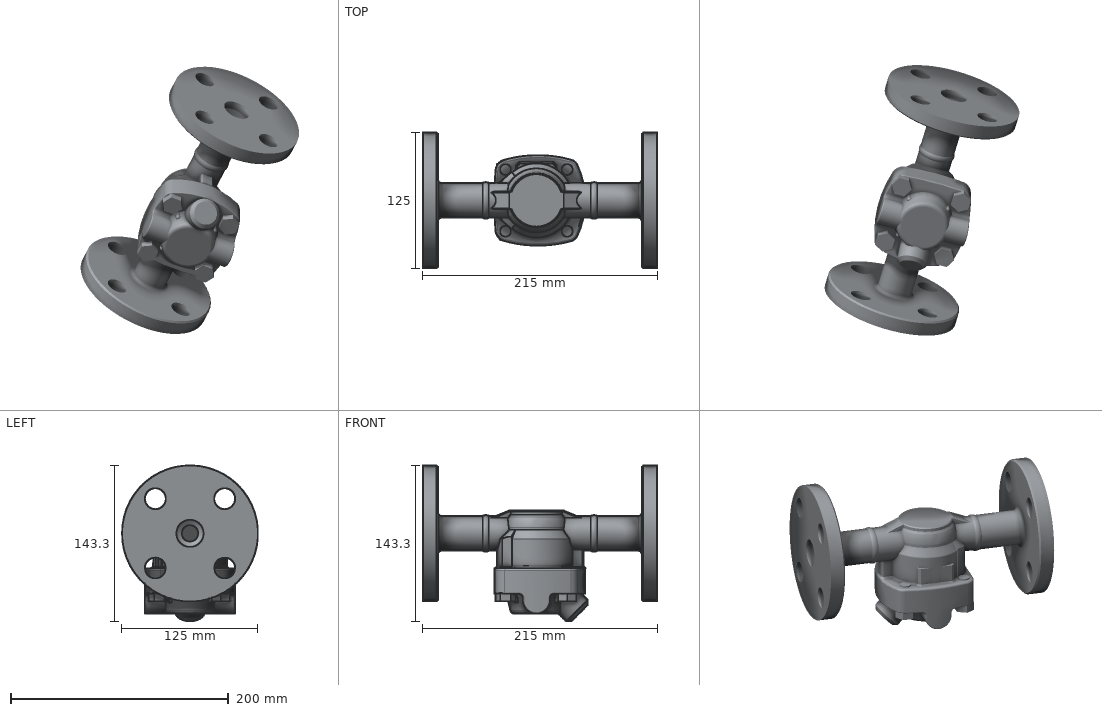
import math

import cadquery as cq


BOLT_COUNT = 4

OVERALL_LENGTH = 215.0
FLANGE_DIAMETER = 125.0
FLANGE_THICKNESS = 14.0
FLANGE_CHAMFER = 1.5
FLANGE_HOLE_DIAMETER = 19.0
FLANGE_BOLT_CIRCLE = 90.0
PIPE_RADIUS = 16.0
PIPE_FILLET = 3.5
BEAD_DISTANCE = 49.7
BEAD_WIDTH = 5.9
BEAD_HEIGHT = 0.9
SOCKET_RADIUS = 12.5
SOCKET_DEPTH = 8.0
SOCKET_POINT_ANGLE = 118.0
BORE_RADIUS = 7.5
BORE_DEPTH = 60.0

BODY_X = -3.3
CAP_RADIUS = 25.0
CAP_TOP = 21.0
CAP_BAND_BOTTOM = 17.3
COLLAR_TOP_RADIUS = 26.6
COLLAR_TOP = 15.2
COLLAR_MID_RADIUS = 28.6
COLLAR_MID = 10.5
COLLAR_RADIUS = 29.4
COLLAR_BOTTOM = 5.8
SHOULDER_TOP = 3.2
SHOULDER_BOTTOM = -4.9
BODY_RADIUS = 34.0
SHOULDER_FILLET = 2.0
INLET_BULGE_RADIUS = 36.5
INLET_BULGE_ANGLE = 98.0
INLET_BULGE_FLAT = 34.7
PAD_WIDTH = 34.6
PAD_FACE = 33.8
PAD_CHAMFER = 2.3
PAD_TOP = -15.0
OUTLET_DUCT_END = 43.7
OUTLET_DUCT_WIDTH = 12.0
OUTLET_DUCT_CHAMFER = 1.6
RIB_WIDTH = 16.4
RIB_REACH = 41.4
RIB_TIP_HEIGHT = 14.2
TOP_CHAMFER = 1.0

COVER_INLET_END = 42.1
COVER_OUTLET_END = 41.7
COVER_HALF_WIDTH = 41.6
COVER_CREST_X = -1.7
COVER_INLET_CORNER = (-40.1, 35.0)
COVER_OUTLET_CORNER = (32.4, 36.3)
COVER_INLET_CORNER_RADIUS = 11.5
COVER_OUTLET_CORNER_RADIUS = 9.5
COVER_TOP = -31.9
COVER_BOTTOM = -55.6
COVER_TOP_FILLET = 2.0
COVER_BOTTOM_FILLET = 1.0
BASE_FILLET = 2.0
FOOT_HEIGHT = 1.5

BOLT_CIRCLE = 80.0
BOLT_DIAMETER = 10.0
BOLT_END_HEIGHT = 1.5
HEX_ACROSS_FLATS = 16.3
HEX_HEIGHT = 6.8

DOME_TOP_RADIUS = 27.5
DOME_BOTTOM_RADIUS = 23.2
DOME_FILLET = 4.0
BOTTOM = -73.7
LUG_RADIUS = 12.5
LUG_FILLET = 3.5
STUD_RADIUS = 2.3
STUD_END_FILLET = 2.07
STUD_CIRCLE_RADIUS = 25.7
STUD_BOTTOM = -63.8
DRAIN_RADIUS = 14.0
DRAIN_CHAMFER = 3.2
DRAIN_LENGTH = 28.0
DRAIN_END_X = 39.6
DRAIN_END_Z = -73.13

SELECTION_MARGIN = 0.1


def turned_about_x(points):
    return cq.Workplane("XY").polyline(points).close().revolve(360, (0, 0, 0), (1, 0, 0))


def pipe_half():
    """Pipe stub from the middle to the outlet flange, without its bore."""
    end = OVERALL_LENGTH / 2
    flange_back = end - FLANGE_THICKNESS
    bead_start = BEAD_DISTANCE - BEAD_WIDTH / 2
    bead_end = BEAD_DISTANCE + BEAD_WIDTH / 2
    fillet_start = flange_back - PIPE_FILLET
    fillet_mid = PIPE_FILLET * math.sqrt(0.5)
    rim = FLANGE_DIAMETER / 2
    half = (
        cq.Workplane("XY")
        .lineTo(0, PIPE_RADIUS)
        .lineTo(bead_start, PIPE_RADIUS)
        .threePointArc((BEAD_DISTANCE, PIPE_RADIUS + BEAD_HEIGHT), (bead_end, PIPE_RADIUS))
        .lineTo(fillet_start, PIPE_RADIUS)
        .threePointArc(
            (fillet_start + fillet_mid, PIPE_RADIUS + PIPE_FILLET - fillet_mid),
            (flange_back, PIPE_RADIUS + PIPE_FILLET),
        )
        .lineTo(flange_back, rim - FLANGE_CHAMFER)
        .lineTo(flange_back + FLANGE_CHAMFER, rim)
        .lineTo(end, rim)
        .lineTo(end, 0)
        .close()
        .revolve(360, (0, 0, 0), (1, 0, 0))
    )
    holes = (
        cq.Workplane("YZ", origin=(flange_back, 0, 0))
        .polarArray(FLANGE_BOLT_CIRCLE / 2, 45, 360, BOLT_COUNT)
        .circle(FLANGE_HOLE_DIAMETER / 2)
        .extrude(FLANGE_THICKNESS)
    )
    return half.cut(holes)


def bore_half():
    """Stepped blind bore of the outlet side: socket, cone and narrow bore."""
    end = OVERALL_LENGTH / 2
    cone_length = (SOCKET_RADIUS - BORE_RADIUS) / math.tan(math.radians(SOCKET_POINT_ANGLE / 2))
    socket_end = end - SOCKET_DEPTH
    bore_end = end - BORE_DEPTH
    return turned_about_x(
        [
            (end, 0),
            (end, SOCKET_RADIUS),
            (socket_end, SOCKET_RADIUS),
            (socket_end - cone_length, BORE_RADIUS),
            (bore_end, BORE_RADIUS),
            (bore_end, 0),
        ]
    )


def both_ends(half):
    return half.union(half.mirror("YZ"))


def body_shell(radius, angle):
    """Body of revolution about Z with the given lower radius, swept over an angle about -X."""
    fillet_mid = BASE_FILLET * (1 - math.sqrt(0.5))
    profile = (
        cq.Workplane("XZ")
        .moveTo(0, CAP_TOP)
        .lineTo(CAP_RADIUS - TOP_CHAMFER, CAP_TOP)
        .lineTo(CAP_RADIUS, CAP_TOP - TOP_CHAMFER)
        .lineTo(CAP_RADIUS, CAP_BAND_BOTTOM)
        .lineTo(COLLAR_TOP_RADIUS, COLLAR_TOP)
        .threePointArc((COLLAR_MID_RADIUS, COLLAR_MID), (COLLAR_RADIUS, COLLAR_BOTTOM))
        .lineTo(COLLAR_RADIUS, SHOULDER_TOP)
        .lineTo(radius, SHOULDER_BOTTOM)
        .lineTo(radius, COVER_TOP + BASE_FILLET)
        .threePointArc(
            (radius + fillet_mid, COVER_TOP + fillet_mid), (radius + BASE_FILLET, COVER_TOP)
        )
        .lineTo(0, COVER_TOP)
        .close()
    )
    shoulder_edge = cq.selectors.BoxSelector(
        (-2 * radius, -2 * radius, SHOULDER_BOTTOM - SELECTION_MARGIN),
        (2 * radius, 2 * radius, SHOULDER_BOTTOM + SELECTION_MARGIN),
        boundingbox=True,
    )
    shell = (
        profile.revolve(angle, (0, 0, 0), (0, 1, 0)).edges(shoulder_edge).fillet(SHOULDER_FILLET)
    )
    return shell.rotate((0, 0, 0), (0, 0, 1), 180 - angle / 2)


def inlet_bulge():
    """Wider body sector under the inlet, flattened where it runs into the main body."""
    bulge = body_shell(INLET_BULGE_RADIUS, INLET_BULGE_ANGLE)
    size = 4 * INLET_BULGE_RADIUS
    for side in (-1, 1):
        keep = (
            cq.Workplane("XY")
            .box(size, size, size)
            .translate((INLET_BULGE_FLAT - size / 2, 0, 0))
            .rotate((0, 0, 0), (0, 0, 1), 180 + side * INLET_BULGE_ANGLE / 2)
        )
        bulge = bulge.intersect(keep)
    return bulge


def footed_column(outline, top):
    """Column standing on the cover with the given closed outline and a sloping foot."""
    on_cover = cq.Workplane("XY", origin=(0, 0, COVER_TOP)).polyline(outline).close()
    column = on_cover.extrude(top - COVER_TOP)
    wide_outline = cq.Workplane("XY", origin=(0, 0, COVER_TOP)).polyline(outline).close()
    foot = wide_outline.offset2D(FOOT_HEIGHT).extrude(FOOT_HEIGHT, taper=45)
    return column.union(foot)


def name_pad():
    """Flat pad with chamfered sides on the +Y side of the body."""
    half = PAD_WIDTH / 2
    outline = [
        (-half, 0),
        (-half, PAD_FACE - PAD_CHAMFER),
        (PAD_CHAMFER - half, PAD_FACE),
        (half - PAD_CHAMFER, PAD_FACE),
        (half, PAD_FACE - PAD_CHAMFER),
        (half, 0),
    ]
    return footed_column(outline, PAD_TOP)


def outlet_duct():
    """Vertical duct under the outlet pipe, with chamfered outer corners."""
    half = OUTLET_DUCT_WIDTH / 2
    outline = [
        (0, -half),
        (OUTLET_DUCT_END - OUTLET_DUCT_CHAMFER, -half),
        (OUTLET_DUCT_END, OUTLET_DUCT_CHAMFER - half),
        (OUTLET_DUCT_END, half - OUTLET_DUCT_CHAMFER),
        (OUTLET_DUCT_END - OUTLET_DUCT_CHAMFER, half),
        (0, half),
    ]
    return footed_column(outline, 0)


def top_ribs():
    """Wedge ribs running from the cap down onto both pipes."""
    rib = (
        cq.Workplane("XZ")
        .polyline(
            [
                (0, RIB_TIP_HEIGHT),
                (0, CAP_TOP),
                (CAP_RADIUS, CAP_TOP),
                (RIB_REACH, RIB_TIP_HEIGHT),
            ]
        )
        .close()
        .extrude(RIB_WIDTH / 2, both=True)
        .edges("(>Y or <Y) and (not |X) and (not |Z)")
        .chamfer(TOP_CHAMFER)
    )
    return both_ends(rib)


def cover_prism(bottom, top):
    """Upright prism with the bowed four-sided cover outline, in the pipe line frame."""
    inlet_x, inlet_y = COVER_INLET_CORNER
    outlet_x, outlet_y = COVER_OUTLET_CORNER
    return (
        cq.Workplane("XY", origin=(0, 0, bottom))
        .moveTo(inlet_x, inlet_y)
        .threePointArc((COVER_CREST_X, COVER_HALF_WIDTH), (outlet_x, outlet_y))
        .threePointArc((COVER_OUTLET_END, 0), (outlet_x, -outlet_y))
        .threePointArc((COVER_CREST_X, -COVER_HALF_WIDTH), (inlet_x, -inlet_y))
        .threePointArc((-COVER_INLET_END, 0), (inlet_x, inlet_y))
        .close()
        .extrude(top - bottom)
        .edges("|Z")
        .edges("<X")
        .fillet(COVER_INLET_CORNER_RADIUS)
        .edges("|Z")
        .edges(">X")
        .fillet(COVER_OUTLET_CORNER_RADIUS)
    )


def cover_bolts():
    """Hex heads below the cover and bolt ends above it, each turned with its place."""
    hex_corner_diameter = HEX_ACROSS_FLATS / math.cos(math.pi / 6)
    place = BOLT_CIRCLE / 2 * math.sqrt(0.5)
    head = (
        cq.Workplane("XY", origin=(place, place, COVER_BOTTOM - HEX_HEIGHT))
        .polygon(6, hex_corner_diameter)
        .extrude(HEX_HEIGHT + COVER_BOTTOM_FILLET)
    )
    bolt = head.union(
        cq.Workplane("XY", origin=(place, place, COVER_BOTTOM))
        .circle(BOLT_DIAMETER / 2)
        .extrude(COVER_TOP + BOLT_END_HEIGHT - COVER_BOTTOM)
    )
    bolts = bolt
    for turn in range(1, BOLT_COUNT):
        bolts = bolts.union(bolt.rotate((0, 0, 0), (0, 0, 1), turn * 360 / BOLT_COUNT))
    return bolts


def cover_dome():
    """Tapered round sump below the cover."""
    return (
        cq.Workplane("XZ")
        .polyline(
            [
                (0, COVER_TOP - COVER_TOP_FILLET),
                (DOME_TOP_RADIUS, COVER_TOP - COVER_TOP_FILLET),
                (DOME_TOP_RADIUS, COVER_BOTTOM),
                (DOME_BOTTOM_RADIUS, BOTTOM),
                (0, BOTTOM),
            ]
        )
        .close()
        .revolve(360, (0, 0, 0), (0, 1, 0))
        .faces("<Z")
        .edges()
        .fillet(DOME_FILLET)
    )


def cross_lug():
    """U-shaped lug across the cover in Y, flared where it meets the cover underside."""
    centre_z = BOTTOM + LUG_RADIUS
    flare_mid = LUG_FILLET * (1 - math.sqrt(0.5))
    flare_x = LUG_RADIUS + LUG_FILLET
    flare_z = COVER_BOTTOM - LUG_FILLET
    root = (COVER_BOTTOM + COVER_TOP) / 2
    return (
        cq.Workplane("XZ")
        .moveTo(-flare_x, root)
        .lineTo(-flare_x, COVER_BOTTOM)
        .threePointArc(
            (-LUG_RADIUS - flare_mid, COVER_BOTTOM - flare_mid), (-LUG_RADIUS, flare_z)
        )
        .lineTo(-LUG_RADIUS, centre_z)
        .threePointArc((0, BOTTOM), (LUG_RADIUS, centre_z))
        .lineTo(LUG_RADIUS, flare_z)
        .threePointArc(
            (LUG_RADIUS + flare_mid, COVER_BOTTOM - flare_mid), (flare_x, COVER_BOTTOM)
        )
        .lineTo(flare_x, root)
        .close()
        .extrude(2 * COVER_HALF_WIDTH, both=True)
    )


def cover():
    """Bolted cover and cross lug with rounded rims."""
    lug = on_body_axis(cross_lug()).intersect(cover_prism(BOTTOM, COVER_TOP))
    span = 2 * COVER_INLET_END
    lower_rim = cq.selectors.BoxSelector(
        (-span, -span, BOTTOM - SELECTION_MARGIN), (span, span, COVER_BOTTOM + SELECTION_MARGIN)
    )
    return (
        cover_prism(COVER_BOTTOM, COVER_TOP)
        .union(lug)
        .faces(">Z")
        .edges()
        .fillet(COVER_TOP_FILLET)
        .edges(lower_rim)
        .edges("not |Y")
        .fillet(COVER_BOTTOM_FILLET)
    )


def sump_studs():
    """Round-ended studs on the diagonals of the sump wall."""
    return (
        cq.Workplane("XY", origin=(0, 0, STUD_BOTTOM))
        .polarArray(STUD_CIRCLE_RADIUS, 45, 360, BOLT_COUNT)
        .circle(STUD_RADIUS)
        .extrude(COVER_BOTTOM + COVER_BOTTOM_FILLET - STUD_BOTTOM)
        .faces("<Z")
        .edges()
        .fillet(STUD_END_FILLET)
    )


def drain_boss():
    """Chamfered round boss leaving the sump downwards at 45 degrees."""
    end_plane = cq.Plane(origin=(DRAIN_END_X, 0, DRAIN_END_Z), xDir=(0, 1, 0), normal=(1, 0, -1))
    return (
        cq.Workplane(end_plane)
        .circle(DRAIN_RADIUS)
        .extrude(-DRAIN_LENGTH)
        .faces(cq.selectors.DirectionMinMaxSelector(cq.Vector(1, 0, -1)))
        .edges()
        .chamfer(DRAIN_CHAMFER)
    )


def on_body_axis(shape):
    return shape.translate((BODY_X, 0, 0))


body_parts = [
    body_shell(BODY_RADIUS, 360),
    inlet_bulge(),
    name_pad(),
    outlet_duct(),
    top_ribs(),
    cover_dome(),
    sump_studs(),
    drain_boss(),
    cover_bolts(),
]

result = both_ends(pipe_half()).union(cover())
for part in body_parts:
    result = result.union(on_body_axis(part))
result = result.cut(both_ends(bore_half()))